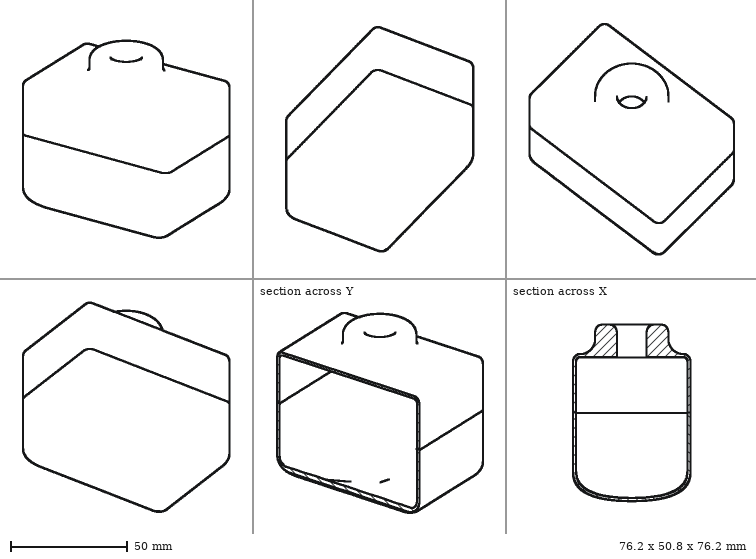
import cadquery as cq
import math

length = 76.2
module = length / 24
edge_radius = module
width = 16 * module
block_height = 16 * module
dome_height = 4 * module
neck_height = 4 * module
neck_radius = 5 * module
neck_blend = 2 * module
bore_radius = 2 * module
wall = 1.45

rim_z = dome_height
split_z = rim_z + block_height / 2
block_top_z = rim_z + block_height
neck_top_z = block_top_z + neck_height


def block(bottom_z, top_z):
    """Upright block with rounded vertical edges."""
    return (
        cq.Workplane("XY", origin=(0, 0, bottom_z))
        .rect(length, width)
        .extrude(top_z - bottom_z)
        .edges("|Z")
        .fillet(edge_radius)
    )


def outline_face(scale, z):
    """Rounded rectangle of the block, scaled about the Z axis and placed at height z."""
    return (
        cq.Sketch()
        .rect(scale * length, scale * width)
        .vertices()
        .fillet(scale * edge_radius)
        .moved(cq.Location(cq.Vector(0, 0, z)))
        .val()
        .Faces()[0]
    )


def dome():
    """Bulged bottom that leaves the block sides vertically and is level at its tip.

    In every upright section through the axis its profile is the parabola that starts at the rim,
    ends at the tip and has its tangents along the wall and along the floor. The section halfway
    along this parabola has covered 3/4 of the depth and still has 3/4 of the rim size, and three
    evenly spaced sections define the parabola fully.
    """
    halfway = 3 / 4
    rim = outline_face(1, rim_z)
    middle = outline_face(halfway, rim_z - halfway * dome_height)
    tip = cq.Vertex.makeVertex(0, 0, rim_z - dome_height)
    shape = cq.occ_impl.shapes.loft(
        [rim, middle, tip], cap=True, parametrization="uniform", degree=2
    )
    return cq.Workplane(shape.Solids()[0])


def neck():
    """Turned neck with a rounded rim, flared into the top of the block."""
    flare_radius = neck_radius + neck_blend
    flare_top_z = block_top_z + neck_blend
    diagonal = math.sqrt(0.5)
    rim_centre = (neck_radius - edge_radius, neck_top_z - edge_radius)
    return (
        cq.Workplane("XZ")
        .moveTo(0, block_top_z)
        .lineTo(flare_radius, block_top_z)
        .threePointArc(
            (flare_radius - neck_blend * diagonal, flare_top_z - neck_blend * diagonal),
            (neck_radius, flare_top_z),
        )
        .lineTo(neck_radius, neck_top_z - edge_radius)
        .threePointArc(
            (rim_centre[0] + edge_radius * diagonal, rim_centre[1] + edge_radius * diagonal),
            (rim_centre[0], neck_top_z),
        )
        .lineTo(0, neck_top_z)
        .close()
        .revolve(360, (0, 0, 0), (0, 1, 0))
    )


def upper_half():
    """Hollow cover, open below, with the bored neck on top."""
    solid_block = block(split_z, block_top_z).faces(">Z").edges().fillet(edge_radius)
    hollow_block = solid_block.faces("<Z").shell(-wall)
    bore = cq.Workplane("XY", origin=(0, 0, split_z)).circle(bore_radius).extrude(neck_top_z - split_z)
    bored = hollow_block.union(neck()).cut(bore)
    mouth_edge = bored.faces(">Z").edges(cq.selectors.RadiusNthSelector(0))
    return mouth_edge.fillet(edge_radius)


def lower_half():
    """Hollow base, open above, with walls of even thickness down into the domed bottom."""
    solid_base = block(rim_z, split_z).union(dome())
    return solid_base.faces(">Z").shell(-wall)


cover = upper_half().solids()
base = lower_half().solids()

result = cq.Compound.makeCompound([cover.val(), base.val()])